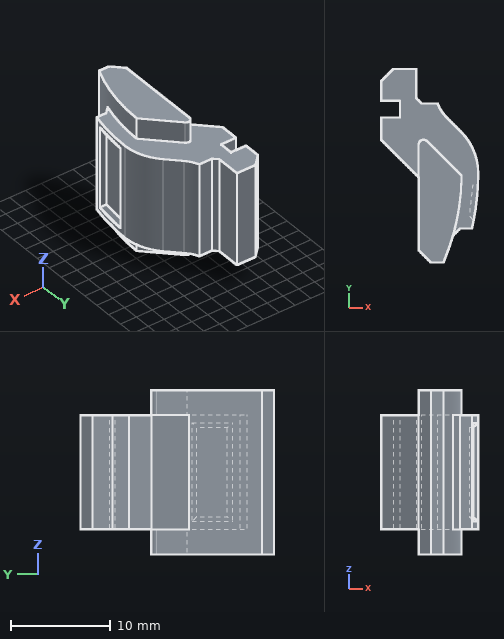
import cadquery as cq
import math

width = 9.8
length = 19.58
plate_height = 16.6
hook_height = 11.51

outer_radius = 24.98
wall_thickness = 1.68
inner_radius = outer_radius - wall_thickness
arc_center_x = width - outer_radius
arc_center_y = 9.05

plate_back_x = 3.78
plate_chamfer = 1.25
plate_peak_y = 13.14
plate_peak_fillet = 0.5

head_width = 3.56
head_chamfer = 1.23
slot_top_y = 16.35
slot_bottom_y = 14.68
slot_depth = 1.9
heel_y = 12.4
shoulder_y = 16.1
shoulder_start_x = 4.07
shoulder_end_x = 5.7
shoulder_chamfer = shoulder_start_x - head_width

bend_radius = 5.87
hollow_radius = 3.92
lip_y = 3.45
lip_inner_x = 7.97
lip_overlap = 1.37

recess_margin = 0.76
recess_depth = 0.49
recess_taper = 45.0
recess_clearance = 0.2


def arc_x(radius, y):
    """X of the wall arc of the given radius at position y."""
    return arc_center_x + math.sqrt(radius**2 - (y - arc_center_y) ** 2)


def wall_arc(outline, radius, start_y, end_y):
    """Continue an outline along a wall arc from start_y to end_y."""
    middle_y = (start_y + end_y) / 2
    return outline.threePointArc(
        (arc_x(radius, middle_y), middle_y),
        (arc_x(radius, end_y), end_y),
    )


def extrude_centered(outline, height):
    return outline.close().extrude(height / 2, both=True)


def make_plate():
    tip_x = arc_center_x + inner_radius
    tip_y = plate_peak_y - (tip_x - plate_back_x)
    outline = (
        cq.Workplane("XY")
        .moveTo(plate_back_x + plate_chamfer, 0)
        .lineTo(plate_back_x, plate_chamfer)
        .lineTo(plate_back_x, plate_peak_y)
        .lineTo(arc_x(inner_radius, tip_y), tip_y)
    )
    outline = wall_arc(outline, inner_radius, tip_y, 0)
    plate = extrude_centered(outline, plate_height)
    peak = cq.NearestToPointSelector((plate_back_x, plate_peak_y, 0))
    return plate.edges("|Z").edges(peak).fillet(plate_peak_fillet)


def make_hook():
    flank_angle = math.pi / 4
    diagonal = math.cos(flank_angle)

    bend_center_x = width - bend_radius
    bend_end_x = bend_center_x + bend_radius * diagonal
    bend_end_y = arc_center_y + bend_radius * diagonal
    bend_middle = (
        bend_center_x + bend_radius * math.cos(flank_angle / 2),
        arc_center_y + bend_radius * math.sin(flank_angle / 2),
    )

    corner_offset = (shoulder_end_x + shoulder_y - bend_end_x - bend_end_y) * diagonal
    hollow_turn = math.acos(1 - corner_offset / hollow_radius)
    hollow_run = hollow_radius * math.sin(hollow_turn)
    hollow_start = (
        shoulder_end_x + (hollow_run - corner_offset) * diagonal,
        shoulder_y - (hollow_run + corner_offset) * diagonal,
    )

    outline = (
        cq.Workplane("XY")
        .moveTo(plate_back_x, heel_y - plate_back_x)
        .lineTo(lip_inner_x - lip_overlap, lip_y - lip_overlap)
        .lineTo(lip_inner_x, lip_y)
        .lineTo(arc_x(outer_radius, lip_y), lip_y)
    )
    outline = wall_arc(outline, outer_radius, lip_y, arc_center_y)
    outline = (
        outline.threePointArc(bend_middle, (bend_end_x, bend_end_y))
        .lineTo(*hollow_start)
        .tangentArcPoint((shoulder_end_x, shoulder_y), relative=False)
        .lineTo(shoulder_start_x, shoulder_y)
        .lineTo(head_width, shoulder_y + shoulder_chamfer)
        .lineTo(head_width, length)
        .lineTo(head_chamfer, length)
        .lineTo(0, length - head_chamfer)
        .lineTo(0, slot_top_y)
        .lineTo(slot_depth, slot_top_y)
        .lineTo(slot_depth, slot_bottom_y)
        .lineTo(0, slot_bottom_y)
        .lineTo(0, heel_y)
    )
    return extrude_centered(outline, hook_height)


def make_recess():
    low_y = lip_y + recess_margin
    high_y = arc_center_y - recess_margin
    low_x = arc_x(outer_radius, low_y)
    high_x = arc_x(outer_radius, high_y)
    run_x = high_x - low_x
    run_y = high_y - low_y
    mouth = cq.Plane(
        origin=((low_x + high_x) / 2, (low_y + high_y) / 2, 0),
        xDir=(0, 0, 1),
        normal=(-run_y, run_x, 0),
    )
    opening = (hook_height - 2 * recess_margin, math.hypot(run_x, run_y))
    pocket = cq.Workplane(mouth).rect(*opening).extrude(recess_depth, taper=recess_taper)
    collar = cq.Workplane(mouth).rect(*opening).extrude(-recess_clearance)
    return pocket.union(collar)


result = make_plate().union(make_hook()).cut(make_recess())